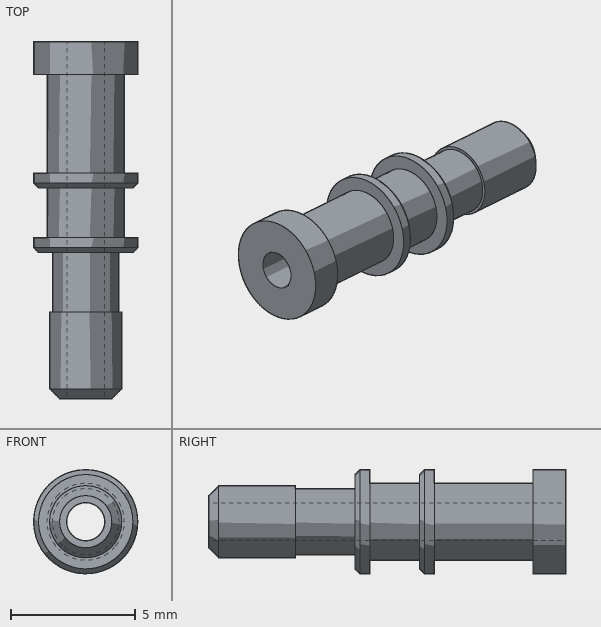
import cadquery as cq

length = 14.37
flange_diameter = 4.2
bore_diameter = 1.52

head_length = 1.32
ring_starts = (5.29, 7.89)
ring_width = 0.6
ring_chamfer = 0.2
neck_end = 10.88

body_diameter = 3.1
neck_diameter = 2.67
tip_diameter = 2.9
tip_chamfer = 0.4

body_end = ring_starts[-1] + ring_width
rear_y = length / 2


def cylinder(diameter, start, end):
    """Solid cylinder along -Y between two distances from the rear face."""
    plane = cq.Workplane("XZ", origin=(0, rear_y - start, 0))
    return plane.circle(diameter / 2).extrude(end - start)


def ring(start):
    """Collar with its edge chamfered on the tip side."""
    collar = cylinder(flange_diameter, start, start + ring_width)
    return collar.faces("<Y").chamfer(ring_chamfer)


head = cylinder(flange_diameter, 0, head_length)
body = cylinder(body_diameter, 0, body_end)
neck = cylinder(neck_diameter, body_end, neck_end)
tip = cylinder(tip_diameter, neck_end, length).faces("<Y").chamfer(tip_chamfer)
pin = head.union(body).union(neck).union(tip)

for ring_start in ring_starts:
    pin = pin.union(ring(ring_start))

result = pin.cut(cylinder(bore_diameter, 0, length))